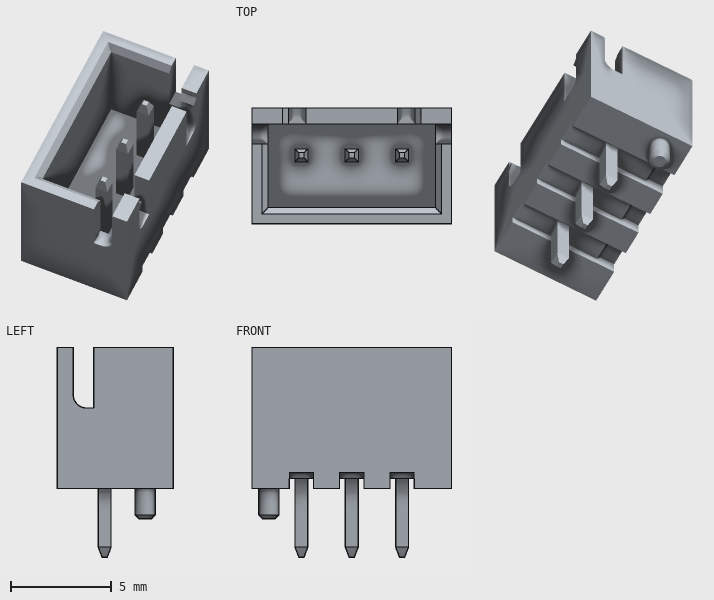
import cadquery as cq

length = 9.9
depth = 5.75
height = 7.0
overall_height = 10.4
wall = 0.8
mouth_chamfer = 0.3

pin_count = 3
pin_pitch = 2.5
pin_y = 3.4
pin_size = 0.65
pin_tip_size = 0.26
pin_taper = 0.5
pin_top = 6.0
pin_bottom = height - overall_height

peg_radius = 0.51
peg_length = 1.5
peg_chamfer = 0.2
peg_inset_x = 0.84
peg_y = 1.39

slot_depth = 3.0
side_slot_width = 1.0
side_slot_radius = 0.65
back_slot_width = 1.19
back_slot_radius = 0.5
arm_width = 1.51

catch_reach = 0.3
catch_start = 0.4

groove_width = 1.2
groove_front_height = 0.8
groove_height = 0.5
groove_slope_run = 0.18

half_length = length / 2
back_wall_y = depth - wall
slot_floor = height - slot_depth
cavity_floor = groove_front_height + wall
pin_positions = [(i - (pin_count - 1) / 2) * pin_pitch for i in range(pin_count)]


def make_housing():
    cavity_length = length - 2 * wall
    cavity_depth = depth - 2 * wall
    cavity = (
        cq.Workplane("XY", origin=(0, wall, cavity_floor))
        .box(cavity_length, cavity_depth, height - cavity_floor, centered=(True, False, False))
    )
    body = cq.Workplane("XY").box(length, depth, height, centered=(True, False, False))
    return body.cut(cavity).cut(make_mouth(cavity_length))


def make_mouth(cavity_length):
    """Flared mouth of the cavity: front and sides slope at 45 degrees, the back stays upright."""

    def outline(spread):
        side = cavity_length / 2 + spread
        front = wall - spread
        z = height - mouth_chamfer + spread
        corners = [(-side, front), (side, front), (side, back_wall_y), (-side, back_wall_y)]
        return cq.Wire.makePolygon([cq.Vector(x, y, z) for x, y in corners], close=True)

    return cq.Workplane(cq.Solid.makeLoft([outline(0), outline(mouth_chamfer)], ruled=True))


def slot_profile(plane, start, width, radius):
    """Slot outline open at the top, with a rounded bottom corner at its starting side."""
    return (
        cq.Workplane(plane)
        .moveTo(start, height)
        .lineTo(start, slot_floor + radius)
        .radiusArc((start + radius, slot_floor), -radius)
        .lineTo(start + width, slot_floor)
        .lineTo(start + width, height)
        .close()
    )


def make_side_slots():
    """One cut through both end walls, measured forward from the back wall."""
    slot = slot_profile("YZ", 0, side_slot_width, side_slot_radius).extrude(half_length, both=True)
    return slot.mirror("XZ").translate((0, back_wall_y, 0))


def make_back_slot():
    """Cut through the back wall beside the left latch arm."""
    slot = slot_profile("XZ", arm_width - half_length, back_slot_width, back_slot_radius)
    return slot.extrude(-wall).translate((0, back_wall_y, 0))


def make_catch():
    """Catch on the left latch arm, pointing toward the middle."""
    arm_edge = arm_width - half_length
    catch_top = height - catch_start
    return (
        cq.Workplane("XZ")
        .moveTo(arm_edge - catch_reach, catch_top)
        .lineTo(arm_edge, catch_top)
        .lineTo(arm_edge + catch_reach, catch_top - catch_reach)
        .lineTo(arm_edge, catch_top - 2 * catch_reach)
        .lineTo(arm_edge - catch_reach, catch_top - 2 * catch_reach)
        .close()
        .extrude(-wall)
        .translate((0, back_wall_y, 0))
    )


def make_groove(x):
    """Groove from front to back whose ceiling is level under the front wall, then slopes down."""
    return (
        cq.Workplane("YZ")
        .moveTo(0, 0)
        .lineTo(0, groove_front_height)
        .lineTo(wall, groove_front_height)
        .lineTo(wall + groove_slope_run, groove_height)
        .lineTo(depth, groove_height)
        .lineTo(depth, 0)
        .close()
        .extrude(groove_width / 2, both=True)
        .translate((x, 0, 0))
    )


def make_pin(x):
    """Square pin tapered to a small flat at both ends."""

    def taper(z, direction):
        return (
            cq.Workplane("XY", origin=(x, pin_y, z))
            .rect(pin_size, pin_size)
            .workplane(offset=direction * pin_taper)
            .rect(pin_tip_size, pin_tip_size)
            .loft()
        )

    shank_bottom = pin_bottom + pin_taper
    shank_top = pin_top - pin_taper
    shank = (
        cq.Workplane("XY", origin=(x, pin_y, shank_bottom))
        .rect(pin_size, pin_size)
        .extrude(shank_top - shank_bottom)
    )
    return shank.union(taper(shank_top, 1)).union(taper(shank_bottom, -1))


def make_peg():
    return (
        cq.Workplane("XY", origin=(peg_inset_x - half_length, peg_y, 0))
        .circle(peg_radius)
        .extrude(-peg_length)
        .faces("<Z")
        .chamfer(peg_chamfer)
    )


result = make_housing().cut(make_side_slots())

back_slot = make_back_slot()
result = result.cut(back_slot).cut(back_slot.mirror("YZ"))

catch = make_catch()
result = result.union(catch).union(catch.mirror("YZ"))

for pin_x in pin_positions:
    result = result.cut(make_groove(pin_x))
for pin_x in pin_positions:
    result = result.union(make_pin(pin_x))

result = result.union(make_peg())